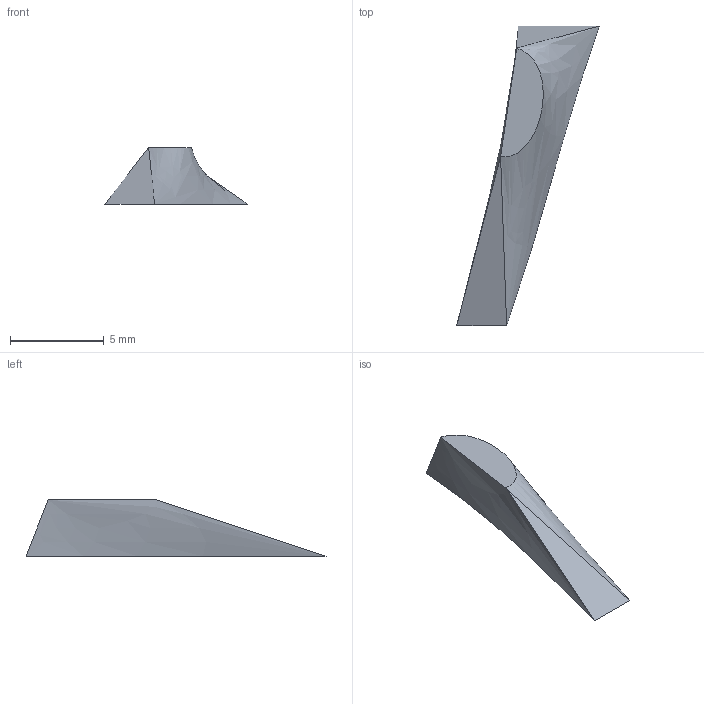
import cadquery as cq

length = 15.99
height = 3.0
width = 7.6

front_width = 2.66
back_left_x = 3.29

top_front = (2.34, 9.03)
top_back = (3.20, 14.80)

base_left_controls = [(1.29, 4.82), (2.79, 9.64)]
base_right_controls = [(4.51, 5.25), (5.72, 10.69)]
top_left_controls = [(2.64, 10.90), (2.90, 12.80)]
top_right_controls = [(4.49, 8.66), (5.75, 13.96)]


def at_height(point, z):
    """Place a plan point at the given height."""
    return cq.Vector(point[0], point[1], z)


def long_edge(start, controls, end, z):
    """Cubic curve running from front to back at one height."""
    return cq.Edge.makeBezier([at_height(point, z) for point in [start, *controls, end]])


def flat_face(edges):
    """Flat face bounded by a closed ring of edges."""
    return cq.Face.makeFromWires(cq.Wire.assembleEdges(edges))


def triangle(corners):
    """Flat triangular face."""
    return cq.Face.makeFromWires(cq.Wire.makePolygon(corners, close=True))


base_front_left = at_height((0, 0), 0)
base_front_right = at_height((front_width, 0), 0)
base_back_left = at_height((back_left_x, length), 0)
base_back_right = at_height((width, length), 0)

base_left = long_edge((0, 0), base_left_controls, (back_left_x, length), 0)
base_right = long_edge((front_width, 0), base_right_controls, (width, length), 0)
base_front = cq.Edge.makeLine(base_front_left, base_front_right)
base_back = cq.Edge.makeLine(base_back_left, base_back_right)
top_left = long_edge(top_front, top_left_controls, top_back, height)
top_right = long_edge(top_front, top_right_controls, top_back, height)

base_face = flat_face([base_front, base_right, base_back, base_left])
top_face = flat_face([top_left, top_right])
front_face = triangle([base_front_left, base_front_right, at_height(top_front, height)])
back_face = triangle([base_back_right, base_back_left, at_height(top_back, height)])

left_face = cq.Face.makeRuledSurface(base_left, top_left)
right_face = cq.Face.makeRuledSurface(base_right, top_right)

faces = [base_face, top_face, front_face, back_face, left_face, right_face]
result = cq.Workplane("XY").newObject([cq.Solid.makeSolid(cq.Shell.makeShell(faces))])